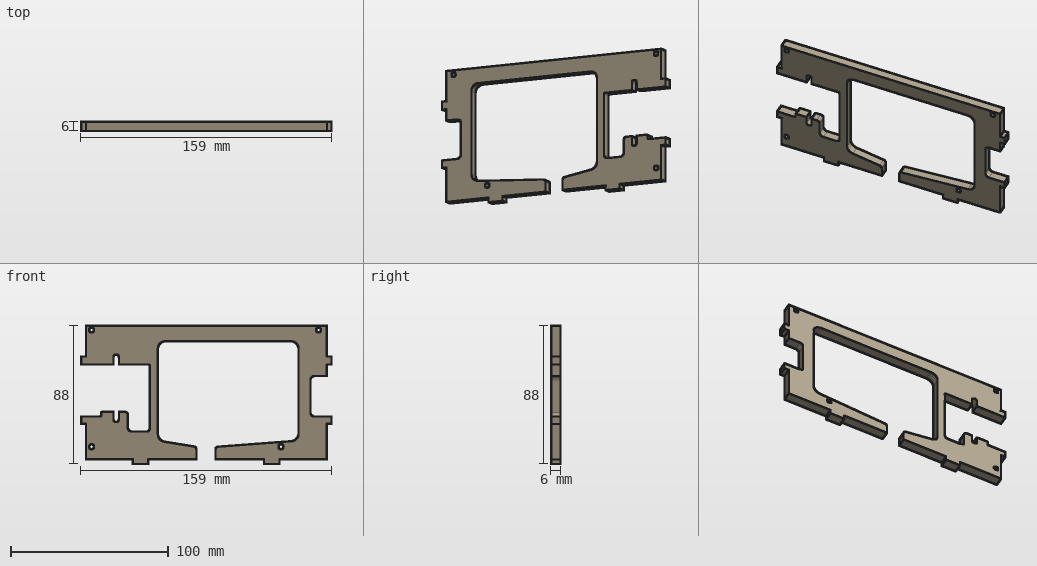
import cadquery as cq

length = 159.0
thickness = 6.0
height = 88.0
tab_depth = 3.0
tab_end = length / 2
body_end = tab_end - tab_depth
body_bottom = tab_depth

upper_tab_bottom = 63.1
upper_tab_top = 68.4
lower_tab_bottom = 25.5
lower_tab_top = 30.2

window_left = -30.7
window_right = 58.5
window_top = 77.9
window_radius = 5.0
arm_root_top = 15.0
arm_tip_top = 11.0
arm_tip_radius = 2.0
left_arm_tip = -6.2
right_arm_tip = 5.7

opening_right = -36.0
block_left = -66.8
block_right = -49.8
block_top = 33.2
block_radius = 2.0
block_step_radius = 1.0
pocket_floor = 20.7
pocket_left_radius = 2.5
pocket_right_radius = 2.0
opening_corner_radius = 0.6

notch_left = 66.1
notch_top = 55.8
notch_radius = 2.5

slot_x = -57.2
slot_width = 3.3
upper_slot_end = 69.5
lower_slot_end = 26.7

foot_width = 10.0
foot_centers = (-41.8, 41.5)

hole_diameter = 3.0
left_hole_x = -72.8
right_hole_x = 71.2
arm_hole_x = 47.4
upper_hole_inset = 2.9
upper_hole_z = height - upper_hole_inset
lower_hole_z = 11.0
hole_points = [
    (left_hole_x, upper_hole_z),
    (right_hole_x, upper_hole_z),
    (left_hole_x, lower_hole_z),
    (arm_hole_x, lower_hole_z),
]


def extrude_profile(sketch):
    """Extrude an XZ profile symmetrically through the plate thickness."""
    return sketch.extrude(thickness / 2, both=True)


def rounded_prism(corners):
    """Make a prism from (x, z, radius) corners, rounding those with a radius."""
    outline = cq.Workplane("XZ").polyline([(x, z) for x, z, _ in corners]).close()
    prism = extrude_profile(outline)
    for x, z, radius in corners:
        if radius:
            corner_edge = cq.selectors.NearestToPointSelector((x, 0, z))
            prism = prism.edges("|Y").edges(corner_edge).fillet(radius)
    return prism


def make_box(x_min, x_max, z_min, z_max):
    """Make a full-thickness rectangular block."""
    return rounded_prism([(x_min, z_min, 0), (x_max, z_min, 0), (x_max, z_max, 0), (x_min, z_max, 0)])


def make_slot(open_z, end_z):
    """Make a slot cutter with a square mouth and a round end."""
    radius = slot_width / 2
    direction = 1 if end_z > open_z else -1
    arc_start = end_z - direction * radius
    outline = (
        cq.Workplane("XZ")
        .moveTo(slot_x - radius, open_z)
        .lineTo(slot_x - radius, arc_start)
        .threePointArc((slot_x, end_z), (slot_x + radius, arc_start))
        .lineTo(slot_x + radius, open_z)
        .close()
    )
    return extrude_profile(outline)


plate = rounded_prism([
    (-body_end, height, 0),
    (body_end, height, 0),
    (body_end, upper_tab_top, 0),
    (tab_end, upper_tab_top, 0),
    (tab_end, upper_tab_bottom, 0),
    (body_end, upper_tab_bottom, 0),
    (body_end, notch_top, 0),
    (notch_left, notch_top, notch_radius),
    (notch_left, lower_tab_top, notch_radius),
    (tab_end, lower_tab_top, 0),
    (tab_end, lower_tab_bottom, 0),
    (body_end, lower_tab_bottom, 0),
    (body_end, body_bottom, 0),
    (right_arm_tip, body_bottom, 0),
    (right_arm_tip, arm_tip_top, arm_tip_radius),
    (window_right, arm_root_top, window_radius),
    (window_right, window_top, window_radius),
    (window_left, window_top, window_radius),
    (window_left, arm_root_top, window_radius),
    (left_arm_tip, arm_tip_top, arm_tip_radius),
    (left_arm_tip, body_bottom, 0),
    (-body_end, body_bottom, 0),
    (-body_end, lower_tab_bottom, 0),
    (-tab_end, lower_tab_bottom, 0),
    (-tab_end, lower_tab_top, 0),
    (block_left, lower_tab_top, block_step_radius),
    (block_left, block_top, block_step_radius),
    (block_right, block_top, block_radius),
    (block_right, pocket_floor, pocket_left_radius),
    (opening_right, pocket_floor, pocket_right_radius),
    (opening_right, upper_tab_bottom, opening_corner_radius),
    (-tab_end, upper_tab_bottom, 0),
    (-tab_end, upper_tab_top, 0),
    (-body_end, upper_tab_top, 0),
])

for center in foot_centers:
    foot = make_box(center - foot_width / 2, center + foot_width / 2, 0, body_bottom)
    plate = plate.union(foot)

plate = plate.cut(make_slot(upper_tab_bottom, upper_slot_end))
plate = plate.cut(make_slot(block_top, lower_slot_end))

holes = extrude_profile(cq.Workplane("XZ").pushPoints(hole_points).circle(hole_diameter / 2))
result = plate.cut(holes)